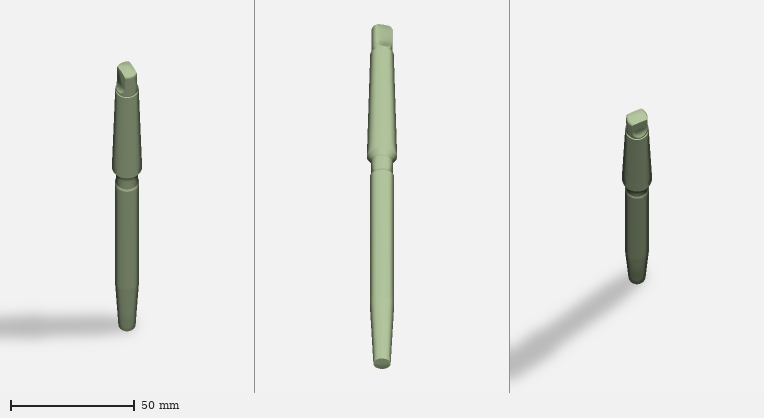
import cadquery as cq

total_length = 171.0
tip_length = 30.1
body_top = 95.0
neck_bottom = 96.1
neck_top = 103.0
shank_bottom = 105.5
tang_length = 13.5
shank_top = total_length - tang_length

tip_diameter = 7.0
body_diameter = 10.0
neck_diameter = 8.9
shank_large_diameter = 12.3
shank_small_diameter = 9.5
tang_diameter = 8.7

tang_thickness = 5.5
tang_edge_radius = 1.2
tang_cone_height = 0.3
tang_shoulder = total_length - tang_cone_height
flat_length = 8.7
runout_radius = 5.0


def turned_blank():
    """Revolved tool: tapered tip, body, neck, tapered shank, cone-ended tang."""
    profile = [
        (0, 0),
        (tip_diameter / 2, 0),
        (body_diameter / 2, tip_length),
        (body_diameter / 2, body_top),
        (neck_diameter / 2, neck_bottom),
        (neck_diameter / 2, neck_top),
        (shank_large_diameter / 2, shank_bottom),
        (shank_small_diameter / 2, shank_top),
        (tang_diameter / 2, shank_top),
        (tang_diameter / 2, tang_shoulder - tang_edge_radius),
    ]
    return (
        cq.Workplane("XZ")
        .polyline(profile)
        .radiusArc((tang_diameter / 2 - tang_edge_radius, tang_shoulder), -tang_edge_radius)
        .lineTo(0, total_length)
        .close()
        .revolve(360, (0, 0), (0, 1))
    )


def tang_flat_cutter():
    """Cutter for the +Y flat, with a round run-out towards the shank."""
    flat_y = tang_thickness / 2
    flat_bottom = total_length - flat_length
    return (
        cq.Workplane("YZ")
        .moveTo(flat_y, total_length)
        .lineTo(flat_y, flat_bottom)
        .radiusArc((flat_y + runout_radius, flat_bottom - runout_radius), -runout_radius)
        .lineTo(flat_y + runout_radius, total_length)
        .close()
        .extrude(tang_diameter, both=True)
    )


flat_cutter = tang_flat_cutter()
result = turned_blank().cut(flat_cutter).cut(flat_cutter.mirror("XZ"))